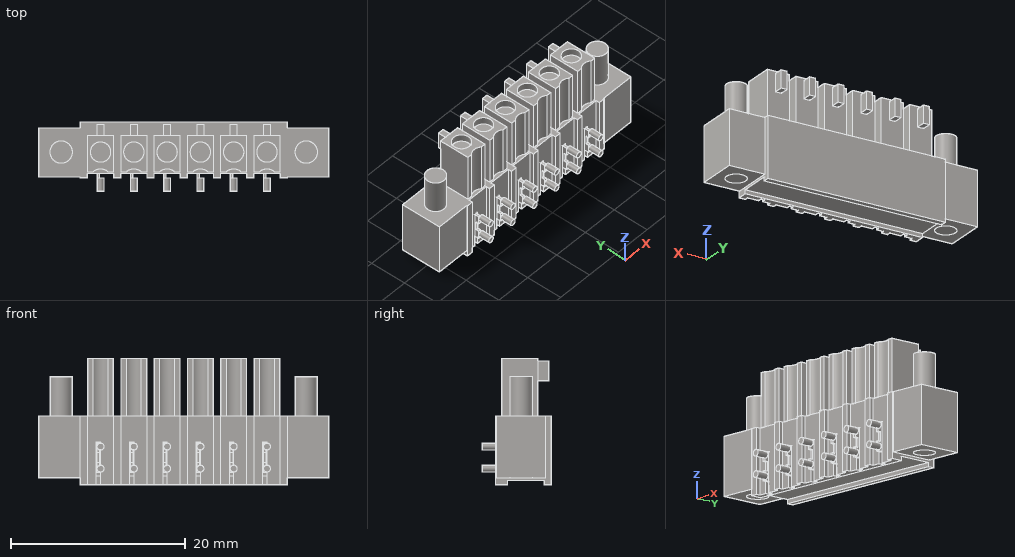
import cadquery as cq


POLES = 6
ROW_LENGTH = 19.05
PITCH = ROW_LENGTH / (POLES - 1)
POLE_X = [i * PITCH - ROW_LENGTH / 2 for i in range(POLES)]

LENGTH = 33.25
CORE_LENGTH = 23.75
CORE_HEIGHT = 7.9
CORE_BACK_Y = 3.45
RIB_FRONT_Y = -2.95
FLANGE_BACK_Y = 2.75
FLANGE_FRONT_Y = -2.85
FLANGE_BOTTOM_Z = 0.8

PANEL_WIDTH = 3.0
PANEL_Y = -2.45

CHANNEL_HEIGHT = 0.5
CHANNEL_BACK_Y = 2.63
CHANNEL_FRONT_Y = -1.55

TOWER_WIDTH = 2.95
TOWER_TOP_Z = 14.5
TOWER_BACK_Y = 1.9
TOWER_FRONT_Y = -2.25
SOCKET_DIAMETER = 2.33
SOCKET_DEPTH = 1.0
GROOVE_WIDTH = 1.7
GROOVE_DEPTH = 0.33

TAB_WIDTH = 0.8
TAB_BACK_Y = 3.15
TAB_HEIGHT = 2.3
TAB_DROP = 0.3
TAB_TOP_Z = TOWER_TOP_Z - TAB_DROP

PIN_DIAMETER = 0.8
PIN_SPACING = 2.53
LOWER_PIN_Z = 1.85
UPPER_PIN_Z = LOWER_PIN_Z + PIN_SPACING
PIN_TIP_Y = -4.5
BLADE_THICKNESS = 0.3
BLADE_FRONT_Y = RIB_FRONT_Y
BLADE_BACK_Y = -1.0
BLADE_OVERHANG = 0.05
BLADE_BOTTOM_Z = LOWER_PIN_Z - PIN_DIAMETER / 2 - BLADE_OVERHANG
BLADE_TOP_Z = UPPER_PIN_Z + PIN_DIAMETER / 2
NOTCH_DEPTH = 0.35
NOTCH_HEIGHT = 1.13

SLOT_CLEARANCE = 0.1
SLOT_FLOOR_Z = 1.03
SLOT_ENTRY_DEPTH = 0.5

SCREW_DIAMETER = 2.55
SCREW_X = 14.03
SCREW_TOP_Z = 12.4


def block(x_range, y_range, z_range):
    """Box spanning the given ranges."""
    spans = [high - low for low, high in (x_range, y_range, z_range)]
    corner = (x_range[0], y_range[0], z_range[0])
    return cq.Workplane("XY").box(*spans, centered=False).translate(corner)


def around(center, width):
    """Range of the given width about a center."""
    return center - width / 2, center + width / 2


def blade_range(pole_x, clearance=0.0):
    """X range of a blade, whose left face is flush with the left side of its pins."""
    left = pole_x - PIN_DIAMETER / 2
    return left - clearance, left + BLADE_THICKNESS + clearance


def make_base():
    """Core and flanges, with the front panels and the channel under the core."""
    flanges = block(
        around(0, LENGTH), (FLANGE_FRONT_Y, FLANGE_BACK_Y), (FLANGE_BOTTOM_Z, CORE_HEIGHT)
    )
    core_x = around(0, CORE_LENGTH)
    base = flanges.union(block(core_x, (RIB_FRONT_Y, CORE_BACK_Y), (0, CORE_HEIGHT)))
    for pole_x in POLE_X:
        panel_x = around(pole_x, PANEL_WIDTH)
        base = base.cut(block(panel_x, (RIB_FRONT_Y, PANEL_Y), (0, CORE_HEIGHT)))
    return base.cut(block(core_x, (CHANNEL_FRONT_Y, CHANNEL_BACK_Y), (0, CHANNEL_HEIGHT)))


def make_tower(pole_x):
    """Tower with its latching tab, socket and front groove."""
    tower_z = (CORE_HEIGHT, TOWER_TOP_Z)
    tower = block(around(pole_x, TOWER_WIDTH), (TOWER_FRONT_Y, TOWER_BACK_Y), tower_z)
    tab_z = (TAB_TOP_Z - TAB_HEIGHT, TAB_TOP_Z)
    tower = tower.union(block(around(pole_x, TAB_WIDTH), (TOWER_BACK_Y, TAB_BACK_Y), tab_z))

    socket = (
        cq.Workplane("XY", origin=(pole_x, 0, TOWER_TOP_Z - SOCKET_DEPTH))
        .circle(SOCKET_DIAMETER / 2)
        .extrude(SOCKET_DEPTH)
    )
    groove_radius = ((GROOVE_WIDTH / 2) ** 2 + GROOVE_DEPTH**2) / (2 * GROOVE_DEPTH)
    groove_y = TOWER_FRONT_Y + GROOVE_DEPTH - groove_radius
    groove = (
        cq.Workplane("XY", origin=(pole_x, groove_y, CORE_HEIGHT))
        .circle(groove_radius)
        .extrude(TOWER_TOP_Z - CORE_HEIGHT)
    )
    return tower.cut(socket).cut(groove)


def make_blade_slot(pole_x):
    """Slot that holds a blade, plus its shallow entry below."""
    slot_x = blade_range(pole_x, SLOT_CLEARANCE)
    slot = block(slot_x, (PANEL_Y, BLADE_BACK_Y), (SLOT_FLOOR_Z, BLADE_TOP_Z + SLOT_CLEARANCE))
    entry = block(slot_x, (PANEL_Y, PANEL_Y + SLOT_ENTRY_DEPTH), (0, SLOT_FLOOR_Z))
    return slot.union(entry)


def make_housing():
    """Base and towers, with openings for the contacts and the screws."""
    housing = make_base()
    for pole_x in POLE_X:
        housing = housing.union(make_tower(pole_x)).cut(make_blade_slot(pole_x))
    for side in (-1, 1):
        housing = housing.cut(make_screw(side))
    return housing


def make_contact(pole_x):
    """Blade with a notch in its front edge between its two pins."""
    blade_x = blade_range(pole_x)
    blade = block(blade_x, (BLADE_FRONT_Y, BLADE_BACK_Y), (BLADE_BOTTOM_Z, BLADE_TOP_Z))
    notch_z = around((LOWER_PIN_Z + UPPER_PIN_Z) / 2, NOTCH_HEIGHT)
    notch = block(blade_x, (BLADE_FRONT_Y, BLADE_FRONT_Y + NOTCH_DEPTH), notch_z)
    contact = blade.cut(notch)
    for pin_z in (LOWER_PIN_Z, UPPER_PIN_Z):
        pin = (
            cq.Workplane("XZ", origin=(pole_x, BLADE_FRONT_Y, pin_z))
            .circle(PIN_DIAMETER / 2)
            .extrude(BLADE_FRONT_Y - PIN_TIP_Y)
        )
        contact = contact.union(pin)
    return contact


def make_screw(side):
    """Plain screw shank standing in a flange, flush with the flange underside."""
    return (
        cq.Workplane("XY", origin=(side * SCREW_X, 0, FLANGE_BOTTOM_Z))
        .circle(SCREW_DIAMETER / 2)
        .extrude(SCREW_TOP_Z - FLANGE_BOTTOM_Z)
    )


housing = make_housing()
contacts = [make_contact(pole_x) for pole_x in POLE_X]
screws = [make_screw(side) for side in (-1, 1)]

bodies = [housing, *contacts, *screws]
result = cq.Compound.makeCompound([body.val() for body in bodies])